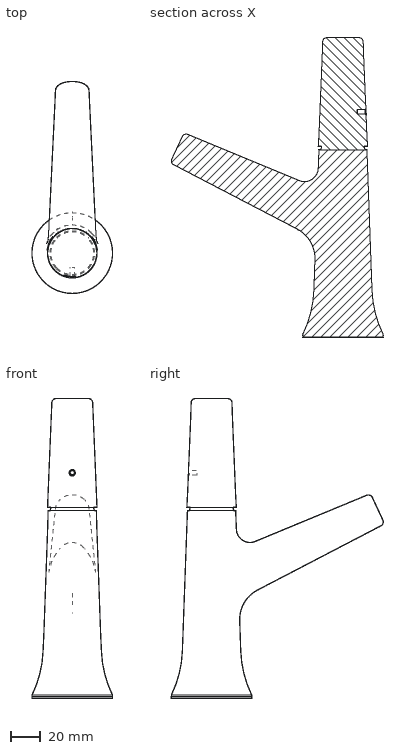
import cadquery as cq
import math

total_height = 200.4

foot_radius = 27.0
foot_height = 1.2
band_radius = 26.9
band_top = 2.4
flare_top = 31.5
flare_top_radius = 19.6
body_top = 125.5
body_top_radius = 16.2

spout_axis_height = 75.0
spout_rise = 25.0
spout_taper = 2.5
spout_end_radius = 11.2
spout_rim_round = 3.0
spout_reach = 114.73
crotch_round = 9.0
throat_round = 22.0

neck_top = 127.7
neck_base_radius = 14.9
neck_top_radius = 14.3
grip_base_radius = 16.6
grip_end_radius = 13.6
grip_rim_round = 3.0

screw_height = 150.8
screw_hole_diameter = 2.8
screw_hole_depth = 6.0
screw_mouth_diameter = 4.4


def make_column():
    """Foot, flared base and tapered column as one revolved profile."""
    return (
        cq.Workplane("XZ")
        .moveTo(0, body_top)
        .lineTo(body_top_radius, body_top)
        .lineTo(flare_top_radius, flare_top)
        .tangentArcPoint((band_radius, band_top), relative=False)
        .lineTo(band_radius, foot_height)
        .lineTo(foot_radius, foot_height)
        .lineTo(foot_radius, 0)
        .lineTo(0, 0)
        .close()
        .revolve(360, (0, 0), (0, 1))
        .rotate((0, 0, 0), (0, 0, 1), -90)
    )


def make_spout():
    """Tapered arm from the body axis, with a rounded rim at its free end."""
    rise = math.radians(spout_rise)
    taper = math.radians(spout_taper)
    flat_end_radius = spout_end_radius - spout_rim_round * math.tan((math.pi / 2 - taper) / 2)
    rim_reach = flat_end_radius * math.sin(rise) + spout_rim_round
    length = (spout_reach - rim_reach) / math.cos(rise) + spout_rim_round
    root_radius = spout_end_radius + length * math.tan(taper)
    return (
        cq.Workplane("YZ")
        .lineTo(length, 0)
        .lineTo(length, spout_end_radius)
        .lineTo(0, root_radius)
        .close()
        .revolve(360, (0, 0), (1, 0))
        .rotate((0, 0, 0), (1, 0, 0), spout_rise)
        .translate((0, 0, spout_axis_height))
        .faces(">Y").edges().fillet(spout_rim_round)
    )


def blend_spout(half):
    """Round the inside corner between spout and column, from the crotch down to the throat.

    The radius grows along the edge, from the upper end to the lower end.
    """
    corner = half.edges("%BSPLINE").val()
    radii = (crotch_round, throat_round)
    if corner.startPoint().z < corner.endPoint().z:
        radii = (throat_round, crotch_round)
    rounding = cq.occ_impl.shapes.BRepFilletAPI_MakeFillet(half.val().wrapped)
    rounding.Add(*radii, corner.wrapped)
    return cq.Workplane(cq.Shape.cast(rounding.Shape()))


def make_body():
    """Column and spout as one solid, blended on one half and mirrored about the YZ plane."""
    whole = make_column().union(make_spout())
    right_side = cq.Workplane("YZ").rect(3 * total_height, 3 * total_height).extrude(foot_radius)
    half = blend_spout(whole.intersect(right_side))
    return half.union(half.mirror("YZ"))


def make_screw_hole():
    """Cutter for a blind hole along Y with a 45 degree countersink at the grip's front surface."""
    height_share = (screw_height - neck_top) / (total_height - neck_top)
    surface_radius = grip_base_radius + height_share * (grip_end_radius - grip_base_radius)
    hole_radius = screw_hole_diameter / 2
    mouth_radius = screw_mouth_diameter / 2
    sink_depth = mouth_radius - hole_radius
    return (
        cq.Workplane("XY")
        .moveTo(0, screw_hole_depth)
        .lineTo(hole_radius, screw_hole_depth)
        .lineTo(hole_radius, sink_depth)
        .lineTo(mouth_radius, 0)
        .lineTo(mouth_radius, -sink_depth)
        .lineTo(0, -sink_depth)
        .close()
        .revolve(360, (0, 0), (0, 1))
        .translate((0, -surface_radius, screw_height))
    )


def make_handle():
    """Neck and tapered grip as one revolved solid, with a countersunk screw hole in the front."""
    handle = (
        cq.Workplane("XZ")
        .moveTo(0, body_top)
        .lineTo(neck_base_radius, body_top)
        .lineTo(neck_top_radius, neck_top)
        .lineTo(grip_base_radius, neck_top)
        .lineTo(grip_end_radius, total_height)
        .lineTo(0, total_height)
        .close()
        .revolve(360, (0, 0), (0, 1))
        .faces(">Z").edges().fillet(grip_rim_round)
    )
    return handle.cut(make_screw_hole())


body = make_body()
handle = make_handle()

result = cq.Compound.makeCompound([body.val(), handle.val()])